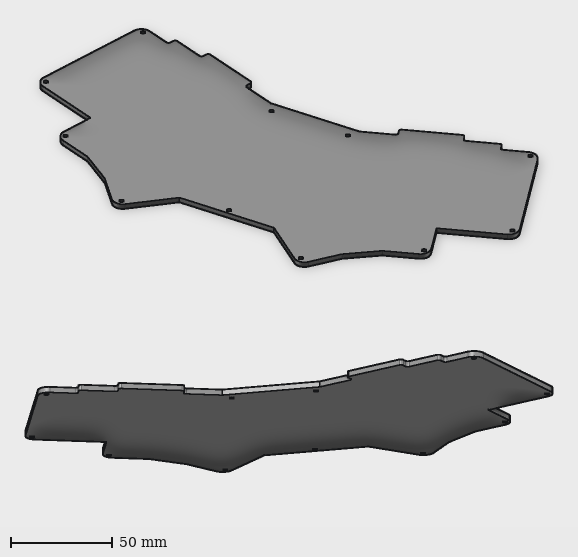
import cadquery as cq
import math

thickness = 3.0
hole_diameter = 2.2
corner_radius = 5.5
step_radius = 1.3

wing_tilt = math.radians(20)
wing_corner_x = -111.8
wing_corner_y = 69.3

wing_height = 70.5
thumb_bottom = 93.2
thumb_inset = 40.8
thumb_bend = 64.5
column_pitch = 19.3
step_rise = 4.7
steps_end = 71.5

top_edge_y = 42.7
bottom_edge_y = -49.0
bottom_edge_half = 26.5
tip_angle = math.radians(40)
tip_y = -70.0
tip_x = -bottom_edge_half - (bottom_edge_y - tip_y) / math.tan(tip_angle)
tip_side_height = 17.7
tip_side_end = (tip_x - tip_side_height * math.tan(tip_angle), tip_y + tip_side_height)


def wing_point(u, v):
    """Plate coordinates of a point given along and across the tilted left wing."""
    x = wing_corner_x + u * math.cos(wing_tilt) + v * math.sin(wing_tilt)
    y = wing_corner_y - u * math.sin(wing_tilt) + v * math.cos(wing_tilt)
    return (x, y)


inner_start = wing_point(steps_end, step_rise)
top_edge_half = -inner_start[0] - (inner_start[1] - top_edge_y) / math.tan(wing_tilt)

tip = (tip_x, tip_y)
outer_corners = [
    wing_point(0, 0),
    wing_point(0, -wing_height),
    wing_point(thumb_inset, -thumb_bottom),
    tip,
]
stepped_corners = [
    wing_point(column_pitch, 0),
    wing_point(column_pitch, step_rise),
    wing_point(2 * column_pitch, step_rise),
    wing_point(2 * column_pitch, 2 * step_rise),
    wing_point(steps_end, 2 * step_rise),
    inner_start,
]

left_outline = [
    (0, top_edge_y),
    (-top_edge_half, top_edge_y),
    *reversed(stepped_corners),
    wing_point(0, 0),
    wing_point(0, -wing_height),
    wing_point(thumb_inset, -wing_height),
    wing_point(thumb_inset, -thumb_bottom),
    wing_point(thumb_bend, -thumb_bottom),
    tip_side_end,
    tip,
    (-bottom_edge_half, bottom_edge_y),
    (0, bottom_edge_y),
]

left_holes = [
    (-109.0, 65.0),
    (-131.4, 5.5),
    (-101.0, -30.0),
    (-50.5, -65.0),
    (-21.5, 37.0),
]
centre_hole = (0, -46.5)


def round_corners(body, corners, radius):
    """Fillet the upright edges standing on the given corner points."""
    for x, y in corners:
        selector = cq.selectors.NearestToPointSelector((x, y, thickness / 2))
        body = body.edges("|Z").edges(selector).fillet(radius)
    return body


left_half = cq.Workplane("XY").polyline(left_outline).close().extrude(thickness)
left_half = round_corners(left_half, outer_corners, corner_radius)
left_half = round_corners(left_half, stepped_corners, step_radius)
plate = left_half.union(left_half.mirror("YZ")).clean()

right_holes = [(-x, y) for x, y in left_holes]
hole_cutters = (
    cq.Workplane("XY")
    .pushPoints(left_holes + right_holes + [centre_hole])
    .circle(hole_diameter / 2)
    .extrude(thickness)
)
result = plate.cut(hole_cutters)